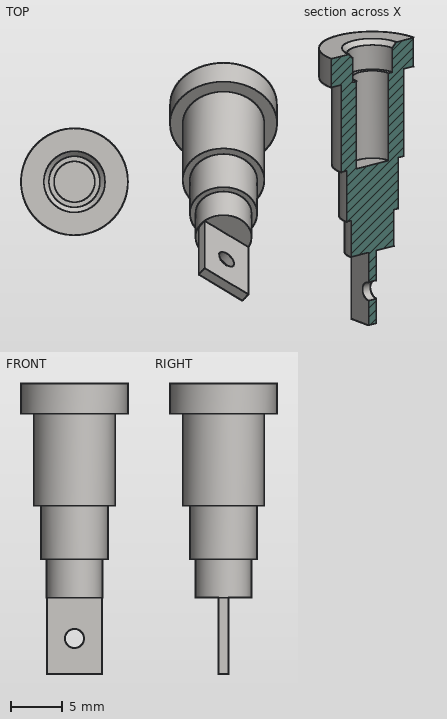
import cadquery as cq

head_diameter = 10.5
head_height = 3.0
barrel_diameter = 8.0
barrel_height = 9.0
shank_diameter = 6.6
shank_height = 5.25
neck_diameter = 5.5
neck_height = 3.75

tab_width = 5.4
tab_thickness = 1.0
tab_length = 7.5
tab_hole_diameter = 1.85
tab_hole_height = 3.5

mouth_diameter = 6.0
socket_diameter = 5.0
socket_depth = head_height
bore_diameter = 4.0
bore_depth = head_height + barrel_height

mouth_chamfer = (mouth_diameter - socket_diameter) / 2
total_height = tab_length + neck_height + shank_height + barrel_height + head_height


def cylinder_down(diameter, height, top):
    """Vertical cylinder that extends downwards from the given top level."""
    return cq.Workplane("XY").workplane(offset=top).circle(diameter / 2).extrude(-height)


def stepped_body():
    """Coaxial steps stacked downwards from the head."""
    steps = [
        (head_diameter, head_height),
        (barrel_diameter, barrel_height),
        (shank_diameter, shank_height),
        (neck_diameter, neck_height),
    ]
    top = total_height
    body = cq.Workplane("XY")
    for diameter, height in steps:
        body = body.add(cylinder_down(diameter, height, top))
        top -= height
    return body.combine()


def socket_cutter():
    """Blind bore with a wider socket above it and a chamfered mouth."""
    bore = cylinder_down(bore_diameter, bore_depth, total_height)
    socket = cylinder_down(socket_diameter, socket_depth, total_height)
    mouth = (
        cq.Workplane("XY")
        .workplane(offset=total_height)
        .circle(mouth_diameter / 2)
        .workplane(offset=-mouth_chamfer)
        .circle(socket_diameter / 2)
        .loft(ruled=True)
    )
    return bore.union(socket).union(mouth)


def solder_tab():
    """Flat tab below the neck with a cross hole."""
    tab = cq.Workplane("XY").box(tab_width, tab_thickness, tab_length, centered=(True, True, False))
    hole = (
        cq.Workplane("XZ")
        .workplane(offset=-tab_thickness)
        .center(0, tab_hole_height)
        .circle(tab_hole_diameter / 2)
        .extrude(2 * tab_thickness)
    )
    return tab.cut(hole)


result = stepped_body().cut(socket_cutter()).union(solder_tab())